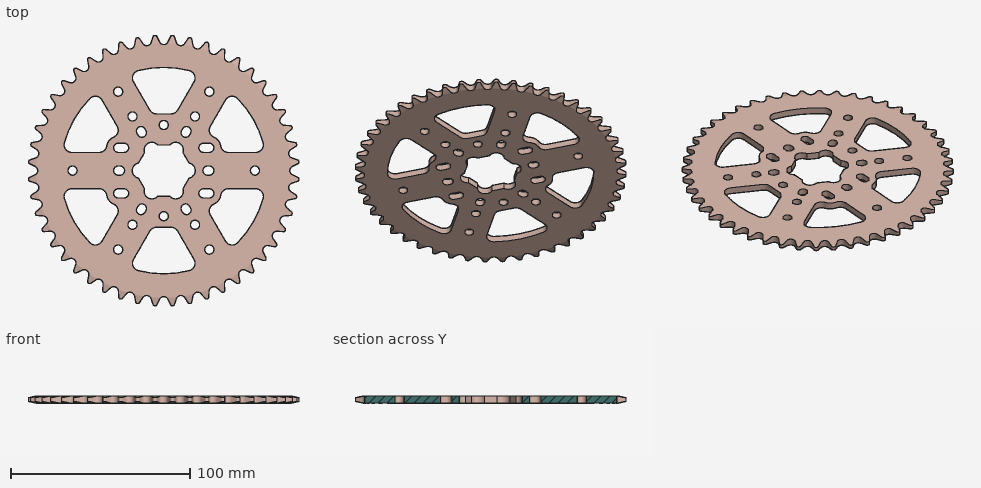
import cadquery as cq
import math

TOOTH_COUNT = 48
OUTER_SIZE = 150.8
THICKNESS = 4.0
CHAIN_PITCH = 9.53
SEAT_RADIUS = 2.5
TIP_RADIUS = 1.2
BEVEL_START_RADIUS = 71.0
TIP_THICKNESS = 2.1

BORE_FLATS = 28.5
LOBE_RADIUS = 4.2
LOBE_CENTRE = 13.3

SPOKE_WIDTH = 20.4
POCKET_OUTER_RADIUS = 57.5
POCKET_INNER_FLAT = 31.7
POCKET_CORNER_RADIUS = 4.2
BOSS_RADIUS = 6.5

HOLE_DIAMETER = 5.0
OUTER_CIRCLE_RADIUS = 50.8
MIDDLE_CIRCLE_RADIUS = 34.8
SHORT_SLOT_RADIUS = 24.9
SHORT_SLOT_LENGTH = 6.0
LONG_SLOT_LENGTH = 8.3

SIXTH_TURN = math.pi / 3
QUARTER_TURN = math.pi / 2

half_tooth_angle = math.pi / TOOTH_COUNT
pitch_radius = CHAIN_PITCH / 2 / math.sin(half_tooth_angle)
tip_centre_radius = (OUTER_SIZE / 2 - TIP_RADIUS) / math.cos(half_tooth_angle)
tip_reach = tip_centre_radius + TIP_RADIUS

spoke_half = SPOKE_WIDTH / 2

hole_grid = OUTER_CIRCLE_RADIUS / 2
long_slot_x = hole_grid - (LONG_SLOT_LENGTH - HOLE_DIAMETER) / 2
long_slot_y = hole_grid / 2


def polar(radius, angle, centre=(0, 0)):
    """Point at a radius and an angle in radians from a centre."""
    return (centre[0] + radius * math.cos(angle), centre[1] + radius * math.sin(angle))


def direction(start, end):
    """Angle in radians of the line from one point to another."""
    return math.atan2(end[1] - start[1], end[0] - start[0])


def in_each_quadrant(x, y):
    """The point mirrored into all four quadrants."""
    return [(side_x * x, side_y * y) for side_x in (-1, 1) for side_y in (-1, 1)]


def through_plate(sketch):
    """Extrude closed outlines drawn at mid-thickness through both faces."""
    return sketch.extrude(THICKNESS, both=True)


def tooth_outline():
    """Closed outline of round roller seats and round tips joined by straight flanks."""
    seat_centre = (pitch_radius, 0)
    tip_centre = polar(tip_centre_radius, half_tooth_angle)
    centre_distance = math.dist(seat_centre, tip_centre)
    normal = direction(seat_centre, tip_centre)
    normal += math.acos((SEAT_RADIUS + TIP_RADIUS) / centre_distance)

    def seat_point(seat_angle, angle):
        return polar(SEAT_RADIUS, seat_angle + angle, polar(pitch_radius, seat_angle))

    def tip_point(tip_angle, angle):
        return polar(TIP_RADIUS, tip_angle + angle, polar(tip_centre_radius, tip_angle))

    tip_normal = normal - math.pi - half_tooth_angle
    outline = cq.Workplane("XY").moveTo(*seat_point(0, -normal))
    for tooth in range(TOOTH_COUNT):
        seat = 2 * tooth * half_tooth_angle
        tip = seat + half_tooth_angle
        next_seat = tip + half_tooth_angle
        outline = (
            outline.threePointArc(seat_point(seat, math.pi), seat_point(seat, normal))
            .lineTo(*tip_point(tip, tip_normal))
            .threePointArc(tip_point(tip, 0), tip_point(tip, -tip_normal))
        )
        if tooth < TOOTH_COUNT - 1:
            outline = outline.lineTo(*seat_point(next_seat, -normal))
    return outline.close()


def toothed_plate():
    """Toothed disc whose teeth taper towards their tips on both faces."""
    blank = tooth_outline().extrude(THICKNESS / 2, both=True)
    envelope = (
        cq.Workplane("XZ")
        .moveTo(0, -THICKNESS / 2)
        .lineTo(BEVEL_START_RADIUS, -THICKNESS / 2)
        .lineTo(tip_reach, -TIP_THICKNESS / 2)
        .lineTo(tip_reach, TIP_THICKNESS / 2)
        .lineTo(BEVEL_START_RADIUS, THICKNESS / 2)
        .lineTo(0, THICKNESS / 2)
        .close()
        .revolve(360, (0, 0, 0), (0, 1, 0))
    )
    return blank.intersect(envelope)


def bore():
    hexagon_corner_diameter = BORE_FLATS / math.cos(SIXTH_TURN / 2)
    hexagon = through_plate(cq.Workplane("XY").polygon(6, hexagon_corner_diameter))
    lobes = cq.Workplane("XY").polarArray(LOBE_CENTRE, 0, 360, 6).circle(LOBE_RADIUS)
    return hexagon.union(through_plate(lobes))


def plain_pocket():
    """Pocket centred on +Y, with an arc outside, a flat inside and a spoke on each side."""
    inner_half = (POCKET_INNER_FLAT - spoke_half / math.cos(SIXTH_TURN)) / math.tan(SIXTH_TURN)
    rim_angle = SIXTH_TURN + math.asin(spoke_half / POCKET_OUTER_RADIUS)
    rim_x, rim_y = polar(POCKET_OUTER_RADIUS, rim_angle)
    outline = (
        cq.Workplane("XY")
        .moveTo(-inner_half, POCKET_INNER_FLAT)
        .lineTo(inner_half, POCKET_INNER_FLAT)
        .lineTo(rim_x, rim_y)
        .threePointArc((0, POCKET_OUTER_RADIUS), (-rim_x, rim_y))
        .close()
    )
    return through_plate(outline).edges("|Z").fillet(POCKET_CORNER_RADIUS)


def side_pocket():
    """Pocket centred on 30 degrees, its inner end curving around the end of a long slot."""
    corner = POCKET_CORNER_RADIUS
    boss_centre = (hole_grid, long_slot_y)
    line_offset = spoke_half + corner
    rim_offset = POCKET_OUTER_RADIUS - corner
    rim_start = math.asin(line_offset / rim_offset)
    rim_end = SIXTH_TURN - rim_start

    def inner_corner(spoke_angle, side):
        """Centre of the corner arc that touches a spoke and the boss around the slot end."""
        boss_radius = math.hypot(*boss_centre)
        boss_angle = direction((0, 0), boss_centre) - spoke_angle
        boss_along, boss_across = polar(boss_radius, boss_angle)
        across = side * line_offset
        along = boss_along + math.sqrt((BOSS_RADIUS + corner) ** 2 - (across - boss_across) ** 2)
        return polar(math.hypot(along, across), spoke_angle + math.atan2(across, along))

    def arc(path, centre, radius, start_angle, end_angle):
        middle = polar(radius, (start_angle + end_angle) / 2, centre)
        return path.threePointArc(middle, polar(radius, end_angle, centre))

    low_inner = inner_corner(0, 1)
    high_inner = inner_corner(SIXTH_TURN, -1)
    low_outer = polar(rim_offset, rim_start)
    high_outer = polar(rim_offset, rim_end)
    low_normal = -QUARTER_TURN
    high_normal = SIXTH_TURN + QUARTER_TURN
    boss_to_low = direction(boss_centre, low_inner)
    boss_to_high = direction(boss_centre, high_inner)

    path = cq.Workplane("XY").moveTo(*polar(corner, low_normal, low_inner))
    path = path.lineTo(*polar(corner, low_normal, low_outer))
    path = arc(path, low_outer, corner, low_normal, rim_start)
    path = arc(path, (0, 0), POCKET_OUTER_RADIUS, rim_start, rim_end)
    path = arc(path, high_outer, corner, rim_end, high_normal)
    path = path.lineTo(*polar(corner, high_normal, high_inner))
    path = arc(path, high_inner, corner, high_normal, boss_to_high + math.pi)
    path = arc(path, boss_centre, BOSS_RADIUS, boss_to_high, boss_to_low)
    path = arc(path, low_inner, corner, boss_to_low - math.pi, low_normal)
    return through_plate(path.close())


def pockets():
    top = plain_pocket()
    upper_right = side_pocket()
    right_pair = upper_right.union(upper_right.mirror("XZ"))
    return top.union(top.mirror("XZ")).union(right_pair).union(right_pair.mirror("YZ"))


def holes():
    middle_points = in_each_quadrant(*polar(MIDDLE_CIRCLE_RADIUS, SIXTH_TURN))
    inner_points = [(0, hole_grid), (0, -hole_grid)]
    outer = cq.Workplane("XY").polarArray(OUTER_CIRCLE_RADIUS, 0, 360, 6).circle(HOLE_DIAMETER / 2)
    inner = cq.Workplane("XY").pushPoints(middle_points + inner_points).circle(HOLE_DIAMETER / 2)
    return through_plate(outer).union(through_plate(inner))


def slots():
    short = cq.Workplane("XY").polarArray(SHORT_SLOT_RADIUS, 0, 360, 6)
    short = short.slot2D(SHORT_SLOT_LENGTH, HOLE_DIAMETER)
    long = cq.Workplane("XY").pushPoints(in_each_quadrant(long_slot_x, long_slot_y))
    long = long.slot2D(LONG_SLOT_LENGTH, HOLE_DIAMETER)
    return through_plate(short).union(through_plate(long))


result = toothed_plate().cut(bore()).cut(pockets()).cut(holes()).cut(slots())